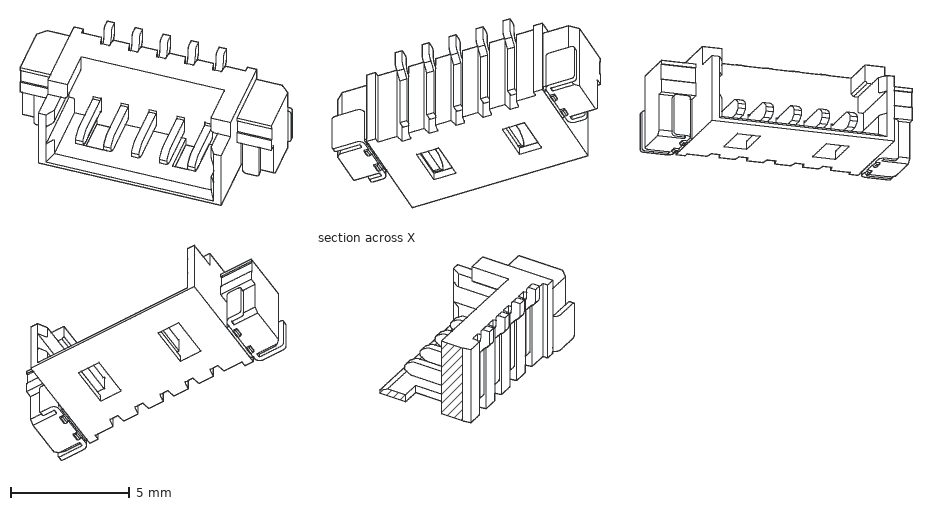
import cadquery as cq
body_half = 4.08
body_depth = 4.70
body_height = 3.72
side_wall_height = 2.90
back_recess = 0.235
back_recess_half = 3.66
arm_front = 1.24
arm_inner = 3.20
arm_chamfer = 0.10

floor = 0.37
lip_height = 0.16
lead_in = 0.40
cavity_back = 3.05
rib_inner = 3.50
groove_outer = 3.74
lower_rib_top = 1.21
upper_rib_bottom = 2.20
rib_fillet = 0.07

pin_count = 5
pitch = 1.25
pin_width = 0.33
pin_half = pin_width / 2
outer_pin = pitch * (pin_count - 1) / 2
pin_tip = 0.70
pin_bottom = 0.77
pin_top = 1.48
pin_root_top = 1.56
pin_root_front = cavity_back - 0.06
tail_back = 4.90
tail_front = 4.46
tail_top = 4.31
tail_corner = 0.17
leg_front = 4.05
leg_back = 4.42
notch_floor = 4.09
notch_mouth_half = 0.265
notch_floor_half = 0.20
root_clearance = 0.035
root_clearance_depth = 0.10

window_front = 1.28
window_inner = 1.475
window_outer = outer_pin

wing_outer = 5.61
wing_front = 2.10
wing_back = 4.63
wing_height = 3.21
wing_corner = 0.36
label_bottom = 2.365
label_top = 3.045
label_depth = 0.07

clip_outer = 5.625
clip_inner = 4.21
clip_thickness = 0.215
clip_height = 1.79
clip_front = 2.20
clip_back = wing_back + clip_thickness
clip_front_end = 5.03
clip_bend = 0.27
clip_corner = 0.13
foot_depth = 0.10
foot_chamfer = 0.06
foot_spans = [(2.84, 3.20), (3.91, 4.22)]
wing_step = clip_front + clip_thickness
wing_foot_chamfer = 0.20
wing_root_notch = 0.15
wing_root_gap = 0.20


def box(x0, x1, y0, y1, z0, z1):
    """Axis-aligned box between two opposite corners."""
    return cq.Workplane("XY").box(x1 - x0, y1 - y0, z1 - z0, centered=False).translate((x0, y0, z0))


def prism_x(points, x0, x1):
    """Prism along X from a closed outline of (y, z) points."""
    return cq.Workplane("YZ").polyline(points).close().extrude(x1 - x0).translate((x0, 0, 0))


def prism_y(points, y0, y1):
    """Prism along Y from a closed outline of (x, z) points."""
    return cq.Workplane("XZ").polyline(points).close().extrude(y0 - y1).translate((0, y0, 0))


def both_sides(shape):
    """The shape together with its mirror image in x = 0."""
    return shape.union(shape.mirror("YZ"))


def make_cavity():
    """Mating cavity with side grooves, a tapered mouth and an open top."""
    cavity = box(-rib_inner, rib_inner, 0, cavity_back, floor, side_wall_height)
    top_opening = box(-arm_inner, arm_inner, 0, cavity_back, floor, body_height)
    top_opening = top_opening.union(box(-body_half, body_half, 0, arm_front, side_wall_height, body_height))
    groove = box(-groove_outer, groove_outer, 0, cavity_back, lower_rib_top, upper_rib_bottom)
    mouth_floor = prism_x([(0, lip_height), (lead_in, floor), (0, floor)], -rib_inner, rib_inner)
    mouth_side = (
        cq.Workplane("XY")
        .polyline([(rib_inner, 0), (groove_outer, 0), (rib_inner, lead_in)])
        .close()
        .extrude(side_wall_height - floor)
        .translate((0, 0, floor))
    )
    mouth_corner = (
        cq.Workplane("XZ")
        .rect(2 * groove_outer, 2 * (side_wall_height - lip_height))
        .workplane(offset=-lead_in)
        .rect(2 * rib_inner, 2 * (side_wall_height - floor))
        .loft()
        .translate((0, 0, side_wall_height))
        .intersect(box(-body_half, body_half, 0, lead_in, 0, side_wall_height))
    )
    cavity = cavity.union(top_opening).union(groove).union(mouth_floor)
    return cavity.union(both_sides(mouth_side)).union(mouth_corner)


def make_notch(x):
    """Tapered clearance notch for one contact, through the full rear height."""
    rear = body_depth - back_recess
    return (
        cq.Workplane("XY")
        .polyline([
            (x - notch_mouth_half, rear),
            (x - notch_floor_half, notch_floor),
            (x + notch_floor_half, notch_floor),
            (x + notch_mouth_half, rear),
        ])
        .close()
        .extrude(body_height)
    )


def make_housing():
    """Shroud with cavity, top arms, floor windows and rear notches."""
    housing = box(-body_half, body_half, 0, body_depth, 0, body_height)
    housing = housing.cut(make_cavity())
    arm_edge = prism_y(
        [
            (arm_inner, side_wall_height),
            (arm_inner + arm_chamfer, side_wall_height),
            (arm_inner, side_wall_height + arm_chamfer),
        ],
        arm_front,
        cavity_back,
    )
    housing = housing.cut(both_sides(arm_edge))
    for edge_z in (lower_rib_top, upper_rib_bottom):
        for side_x in (-rib_inner, rib_inner):
            rib_edge = cq.selectors.NearestToPointSelector((side_x, (lead_in + cavity_back) / 2, edge_z))
            housing = housing.edges("|Y").edges(rib_edge).fillet(rib_fillet)
    rear = body_depth - back_recess
    housing = housing.cut(box(-back_recess_half, back_recess_half, rear, body_depth, 0, body_height))
    window = box(window_inner, window_outer, window_front, cavity_back, 0, floor)
    root_gap = box(
        outer_pin - pin_half - root_clearance,
        outer_pin - pin_half,
        cavity_back,
        cavity_back + root_clearance_depth,
        pin_bottom,
        pin_root_top,
    )
    housing = housing.cut(both_sides(window.union(root_gap)))
    for index in range(pin_count):
        housing = housing.cut(make_notch(index * pitch - outer_pin))
    return housing


def make_pin(x):
    """Contact: rounded blade in the cavity, rear leg and offset solder tail."""
    return (
        cq.Workplane("YZ")
        .moveTo(pin_tip + 0.30, pin_bottom)
        .lineTo(pin_tip, 0.95)
        .lineTo(pin_tip, 1.15)
        .threePointArc((0.75, 1.235), (0.87, 1.33))
        .lineTo(1.04, 1.435)
        .threePointArc((1.11, 1.468), (1.185, pin_top))
        .lineTo(pin_root_front, pin_top)
        .lineTo(cavity_back, pin_root_top)
        .lineTo(leg_front, pin_root_top)
        .lineTo(leg_front, 3.25)
        .lineTo(4.28, 3.48)
        .threePointArc((4.41, 3.65), (tail_front, 3.87))
        .lineTo(tail_front, tail_top - tail_corner)
        .threePointArc((tail_front + 0.05, tail_top - 0.05), (tail_front + tail_corner, tail_top))
        .lineTo(tail_back, tail_top)
        .lineTo(tail_back, 3.72)
        .threePointArc((4.85, 3.56), (4.71, 3.43))
        .lineTo(leg_back, 3.10)
        .lineTo(leg_back, pin_bottom)
        .close()
        .extrude(pin_width)
        .translate((x - pin_half, 0, 0))
    )


def make_wing():
    """Mounting wing on the +X side, stepped back behind the clip's front leg."""
    wing = (
        cq.Workplane("XY")
        .polyline([
            (body_half, wing_front),
            (wing_outer, wing_front),
            (wing_outer, wing_back - wing_corner),
            (wing_outer - wing_corner, wing_back),
            (body_half, wing_back),
        ])
        .close()
        .extrude(wing_height)
    )
    wing = wing.cut(box(body_half, wing_outer, wing_front, wing_step, 0, clip_height))
    for edge_y, inward in ((wing_step, wing_foot_chamfer), (wing_back, -wing_foot_chamfer)):
        foot = prism_x(
            [(edge_y, 0), (edge_y + inward, 0), (edge_y, wing_foot_chamfer)],
            body_half,
            wing_outer,
        )
        wing = wing.cut(foot)
    label = box(body_half, wing_outer, wing_front, wing_front + label_depth, label_bottom, label_top)
    root_notch = prism_y(
        [(body_half, 0), (clip_inner, 0), (clip_inner, wing_root_notch), (body_half, 0.02)],
        wing_step,
        wing_back,
    )
    root_gap = box(body_half, clip_inner, wing_step, wing_step + wing_root_gap, 0, clip_height)
    return wing.cut(label).cut(root_gap).cut(root_notch)


def make_clip():
    """U-shaped clip on the +X side, with two feet under its web."""
    clip = box(clip_inner, clip_outer, clip_front, clip_back, 0, clip_height)
    clip = clip.edges("|Z and <X").fillet(clip_bend)
    clip = clip.cut(
        box(clip_inner + clip_thickness, clip_outer, wing_step, wing_back, 0, clip_height)
    )
    clip = clip.cut(box(clip_front_end, clip_outer, clip_front, wing_step, 0, clip_height))
    clip = clip.edges("|Y").edges(cq.selectors.BoxSelector(
        (clip_front_end - clip_corner, clip_front, -clip_corner),
        (clip_outer + clip_corner, clip_back, clip_height + clip_corner),
    )).fillet(clip_corner)
    for y0, y1 in foot_spans:
        foot = box(clip_inner, clip_inner + clip_thickness, y0, y1, -foot_depth, foot_depth)
        clip = clip.union(foot.edges("|Y and <Z").chamfer(foot_chamfer))
    return clip


result = make_housing()
for pin_index in range(pin_count):
    result = result.union(make_pin(pin_index * pitch - outer_pin))
result = result.union(both_sides(make_wing())).union(both_sides(make_clip()))